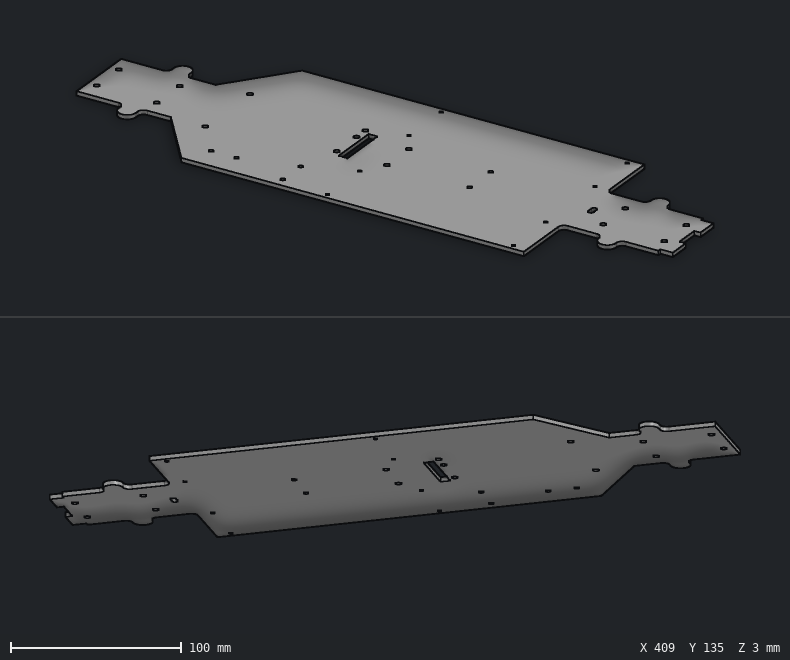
import cadquery as cq

length = 409.0
width = 135.0
thickness = 3.0

neck_half_width = 25.0
body_half_width = width / 2
taper_start = 65.0
taper_end = 98.4
body_end = 334.0
neck_corner_radius = 4.0

tail_start = 400.5
tail_half_width = 22.75
notch_depth = 4.25
notch_width = 16.5

ear_radius = 6.0
ear_root_radius = 4.0
front_ear_station = 38.6
front_ear_reach = 37.0
rear_ear_station = 368.0
rear_ear_reach = 35.25

long_slot_station = 178.4
long_slot_width = 6.0
long_slot_length = 33.5
rear_slot_station = 339.7
rear_slot_width = 3.5
rear_slot_length = 7.0

large_hole = 3.6
medium_hole = 2.9
small_hole = 2.2


def mirrored(stations, offsets):
    """Positions at every station and offset, on both sides of the X axis."""
    return [(station, side * y) for station in stations for y in offsets for side in (1, -1)]


mount_half_pitch = 12.3
mount_stations = (6.2, 205.8, 354.7, 396.7)
taper_hole_station = 88.6
slot_side_hole_station = 171.3
front_hole_station = 48.0
large_hole_positions = [
    *mirrored(mount_stations, [mount_half_pitch]),
    *mirrored([taper_hole_station], [neck_half_width]),
    (front_hole_station, 12.5),
    (front_hole_station, -13.2),
    (slot_side_hole_station, 19.7),
    (slot_side_hole_station, 9.8),
    (slot_side_hole_station, -mount_half_pitch),
]

center_hole_station = 262.4
center_hole_half_pitch = 11.8
medium_hole_positions = [
    *mirrored([center_hole_station], [center_hole_half_pitch]),
    (108.3, -50.5),
    (125.8, -50.5),
    (163.8, -40.5),
    (163.8, -60.5),
]

edge_hole_stations = (196.5, 324.5)
edge_hole_offsets = (27.6, 63.5)
small_hole_positions = mirrored(edge_hole_stations, edge_hole_offsets)


def plate_outline():
    """Body with tapered front, straight necks and stepped tail."""
    upper_edge = [
        (0, neck_half_width),
        (taper_start, neck_half_width),
        (taper_end, body_half_width),
        (body_end, body_half_width),
        (body_end, neck_half_width),
        (tail_start, neck_half_width),
        (tail_start, tail_half_width),
        (length, tail_half_width),
    ]
    lower_edge = [(x, -y) for x, y in reversed(upper_edge)]
    plate = cq.Workplane("XY").polyline(upper_edge + lower_edge).close().extrude(thickness)
    for side in (1, -1):
        corner = cq.NearestToPointSelector((body_end, side * neck_half_width, thickness / 2))
        plate = plate.edges("|Z").edges(corner).fillet(neck_corner_radius)
    return plate


def ear(station, reach, side):
    """Round-ended ear whose sides flare into the neck edge with concave root arcs."""
    arc_center_y = reach - ear_radius
    flare_half_width = ear_radius + ear_root_radius
    flare_end_y = neck_half_width + ear_root_radius
    profile = (
        cq.Workplane("XY")
        .moveTo(station - flare_half_width, 0)
        .lineTo(station - flare_half_width, side * neck_half_width)
        .radiusArc((station - ear_radius, side * flare_end_y), -side * ear_root_radius)
        .lineTo(station - ear_radius, side * arc_center_y)
        .threePointArc((station, side * reach), (station + ear_radius, side * arc_center_y))
        .lineTo(station + ear_radius, side * flare_end_y)
        .radiusArc((station + flare_half_width, side * neck_half_width), -side * ear_root_radius)
        .lineTo(station + flare_half_width, 0)
        .close()
    )
    return profile.extrude(thickness)


def drill(plate, positions, diameter):
    """Through holes of one diameter."""
    cutters = cq.Workplane("XY").pushPoints(positions).circle(diameter / 2).extrude(thickness)
    return plate.cut(cutters)


def cut_slots(plate):
    """Rectangular long slot, small round-ended rear slot and the tail notch."""
    long_slot = (
        cq.Workplane("XY")
        .center(long_slot_station, 0)
        .rect(long_slot_width, long_slot_length)
        .extrude(thickness)
    )
    rear_slot = (
        cq.Workplane("XY")
        .center(rear_slot_station, 0)
        .slot2D(rear_slot_length, rear_slot_width, 90)
        .extrude(thickness)
    )
    notch = (
        cq.Workplane("XY")
        .center(length - notch_depth / 2, 0)
        .rect(notch_depth, notch_width)
        .extrude(thickness)
    )
    return plate.cut(long_slot).cut(rear_slot).cut(notch)


chassis = plate_outline()
for side in (1, -1):
    chassis = chassis.union(ear(front_ear_station, front_ear_reach, side))
    chassis = chassis.union(ear(rear_ear_station, rear_ear_reach, side))
chassis = cut_slots(chassis)
chassis = drill(chassis, large_hole_positions, large_hole)
chassis = drill(chassis, medium_hole_positions, medium_hole)
chassis = drill(chassis, small_hole_positions, small_hole)

result = chassis.translate((-length / 2, 0, 0))